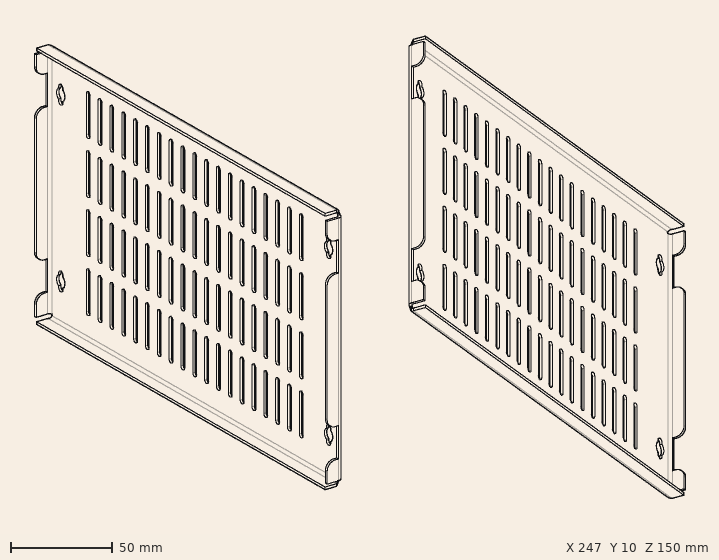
import cadquery as cq

width = 247.0
depth = 10.0
height = 150.0
sheet = 1.5
inner_radius = 1.5
bend = sheet + inner_radius
back = depth / 2
bend_start = back - bend

side_setback = 3.7
long_setback = 1.7
long_slant = 1.7

tab_length = 11.9
notch_length = 18.0
tab_radius = 5.0

slot_columns = 19
slot_rows = 4
slot_field_width = 179.8
slot_field_height = 96.0
slot_length = 25.2
slot_width = 3.0

mount_spacing_x = 226.0
mount_spacing_z = 101.3
mount_diameter = 7.0
mount_slot_length = 11.0
mount_slot_width = 3.5


def folded_strip(reach, half_length):
    """Bend and flange along Z, with the flange's outer face at X = reach."""
    return (
        cq.Workplane("XY")
        .moveTo(reach - bend, back)
        .radiusArc((reach, bend_start), bend)
        .lineTo(reach, -back)
        .lineTo(reach - sheet, -back)
        .lineTo(reach - sheet, bend_start)
        .radiusArc((reach - bend, back - sheet), -inner_radius)
        .close()
        .extrude(half_length, both=True)
    )


def slant_bend_ends(strip, reach, half_length):
    """Trim both ends of a strip so that they slant inward across the bend."""
    slant_end = back - sheet / 2
    short_half = half_length - long_slant
    corner = (
        cq.Workplane("YZ")
        .polyline([
            (bend_start, half_length),
            (slant_end, short_half),
            (back, short_half),
            (back, half_length),
        ])
        .close()
        .extrude(reach)
    )
    return strip.cut(corner).cut(corner.mirror("XY"))


def notch_side_flange(strip, half_length):
    """Cut two notches down to the bend and round the tab corners beside them."""
    notch_depth = depth - bend
    notch_offset = half_length - tab_length - notch_length / 2
    for direction in (-1, 1):
        notch = (
            cq.Workplane("XY")
            .box(width, notch_depth, notch_length)
            .translate((0, bend_start - notch_depth / 2, direction * notch_offset))
        )
        strip = strip.cut(notch)
    tab_ends = strip.faces("<Y").edges("|X")
    end_tab_middle = half_length - tab_length / 2
    beside_notches = [edge for edge in tab_ends.vals() if abs(edge.Center().z) < end_tab_middle]
    return tab_ends.newObject(beside_notches).fillet(tab_radius)


def grid(columns, rows, span_x, span_z):
    """Evenly spaced points filling a rectangle centred on the origin."""
    return [
        (span_x * (column / (columns - 1) - 0.5), span_z * (row / (rows - 1) - 0.5))
        for column in range(columns)
        for row in range(rows)
    ]


def upright_slots(points, length, across):
    """Cutters for upright round-ended slots through the panel."""
    return cq.Workplane("XZ").pushPoints(points).slot2D(length, across, 90).extrude(depth, both=True)


panel = (
    cq.Workplane("XY")
    .box(width - 2 * bend, sheet, height - 2 * bend)
    .translate((0, back - sheet / 2, 0))
)

slot_points = grid(slot_columns, slot_rows, slot_field_width, slot_field_height)
panel = panel.cut(upright_slots(slot_points, slot_length, slot_width))

mount_points = grid(2, 2, mount_spacing_x, mount_spacing_z)
mount_circles = (
    cq.Workplane("XZ")
    .pushPoints(mount_points)
    .circle(mount_diameter / 2)
    .extrude(depth, both=True)
)
panel = panel.cut(upright_slots(mount_points, mount_slot_length, mount_slot_width))
panel = panel.cut(mount_circles)

side_half_length = height / 2 - side_setback
side_flange = folded_strip(width / 2, side_half_length)
side_flange = notch_side_flange(side_flange, side_half_length)

long_half_length = width / 2 - long_setback
long_flange = folded_strip(height / 2, long_half_length)
long_flange = slant_bend_ends(long_flange, height / 2, long_half_length)
long_flange = long_flange.rotate((0, 0, 0), (0, 1, 0), -90)

result = (
    panel
    .union(side_flange)
    .union(side_flange.mirror("YZ"))
    .union(long_flange)
    .union(long_flange.mirror("XY"))
)